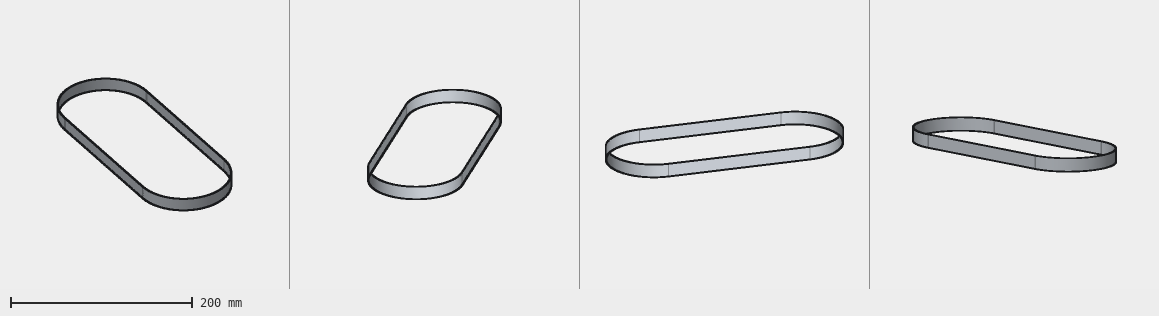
import cadquery as cq

length = 270.0
width = 106.5
height = 15.0
wall = 1.0

outer = cq.Workplane("XY").slot2D(length, width).extrude(height)
opening = cq.Workplane("XY").slot2D(length - 2 * wall, width - 2 * wall).extrude(height)

result = outer.cut(opening)